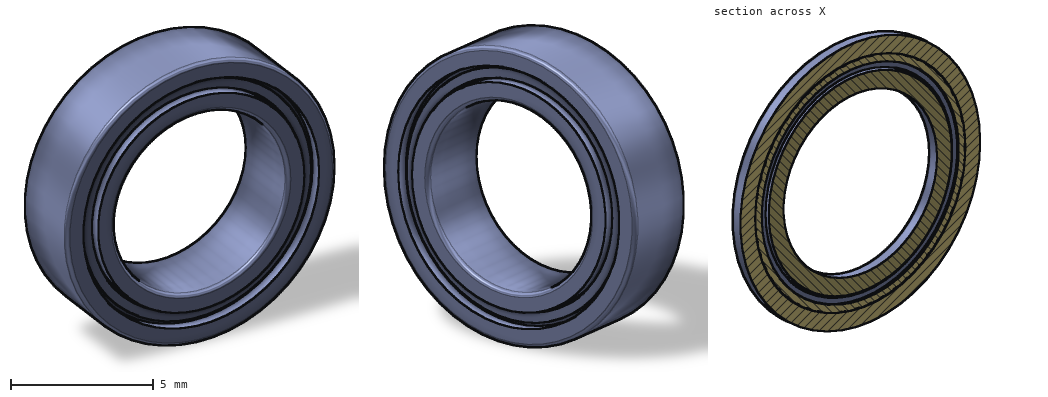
import cadquery as cq

width = 3.0
outer_diameter = 11.0
bore_diameter = 7.0
edge_radius = 0.15

inner_land_diameter = 8.7
outer_land_diameter = 9.3
relief_step = 0.15
relief_length = 0.6
inner_relief_diameter = inner_land_diameter - 2 * relief_step
outer_relief_diameter = outer_land_diameter + 2 * relief_step

sheet_thickness = 0.15
shield_recess = 0.3
shield_inner_diameter = 8.55
shield_leg_diameter = outer_land_diameter

end_face = width / 2
land_end = end_face - relief_length


def cylinder(diameter, start, end):
    """Solid cylinder along X between two X positions."""
    return cq.Workplane("YZ").workplane(offset=start).circle(diameter / 2).extrude(end - start)


def tube(outside, inside, start, end):
    """Hollow cylinder along X between two X positions."""
    return cylinder(outside, start, end).cut(cylinder(inside, start, end))


def make_outer_ring():
    """Ring with rounded outside edges and a shield seat in each end of its bore."""
    body = cylinder(outer_diameter, -end_face, end_face).edges().fillet(edge_radius)
    body = body.cut(cylinder(outer_relief_diameter, -end_face, end_face))
    land = tube(outer_relief_diameter, outer_land_diameter, -land_end, land_end)
    return body.union(land)


def make_inner_ring():
    """Ring with rounded bore edges and a relieved shoulder at each end."""
    body = tube(inner_relief_diameter, bore_diameter, -end_face, end_face)
    bore_edges = cq.selectors.RadiusNthSelector(0)
    body = body.edges(bore_edges).fillet(edge_radius)
    land = tube(inner_land_diameter, inner_relief_diameter, -land_end, land_end)
    return body.union(land)


def make_shield():
    """Shield at the +X end: flat face, leg and a flange resting on the outer land."""
    face_front = end_face - shield_recess
    leg_inside = shield_leg_diameter - 2 * sheet_thickness
    face = tube(shield_leg_diameter, shield_inner_diameter, face_front - sheet_thickness, face_front)
    leg = tube(shield_leg_diameter, leg_inside, land_end, face_front)
    flange = tube(outer_relief_diameter, leg_inside, land_end, land_end + sheet_thickness)
    return face.union(leg).union(flange)


outer_ring = make_outer_ring()
inner_ring = make_inner_ring()

shields = []
for turn in (0, 180):
    shields.append(make_shield().rotate((0, 0, 0), (0, 0, 1), turn))

result = cq.Compound.makeCompound([
    outer_ring.val(),
    inner_ring.val(),
    *[shield.val() for shield in shields],
])